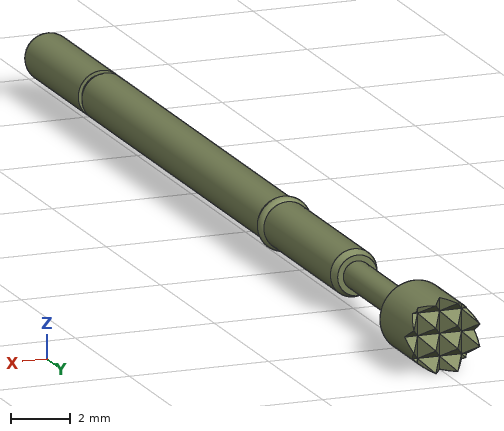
import cadquery as cq
import math

total_length = 37.3

head_diameter = 2.5
head_length = 3.0
tooth_angle = 60.0
valleys_per_side = 2

plunger_diameter = 1.0
plunger_length = 5.3

barrel_diameter = 1.68
mouth_radius = 0.7
mouth_length = 0.35
tail_flat_radius = 0.4
tail_round_length = 0.5

ring_center = 22.25
ring_width = 0.52
ring_height = 0.1

groove_center = 5.52
groove_width = 0.35
groove_depth = 0.13

head_radius = head_diameter / 2
plunger_radius = plunger_diameter / 2
barrel_radius = barrel_diameter / 2
tooth_pitch = head_radius / math.hypot(0.5, 1.5)
head_base = total_length - head_length
barrel_length = head_base - plunger_length


def rod(start, length, radius):
    """Cylinder on the Y axis from Y = start towards +Y."""
    return cq.Workplane("XZ", origin=(0, start, 0)).circle(radius).extrude(-length)


def make_barrel():
    """Barrel with a rounded tail and a tapered mouth, revolved about Y."""
    mouth_start = barrel_length - mouth_length
    body = (
        cq.Workplane("XY")
        .moveTo(0, barrel_length)
        .lineTo(mouth_radius, barrel_length)
        .lineTo(barrel_radius, mouth_start)
        .lineTo(barrel_radius, tail_round_length)
        .tangentArcPoint((tail_flat_radius, 0), relative=False)
        .lineTo(0, 0)
        .close()
        .revolve(360, (0, 0, 0), (0, 1, 0))
    )
    return body.union(make_ring()).cut(make_groove())


def make_ring():
    """Bead whose crown is an arc across the ring width."""
    ring_start = ring_center - ring_width / 2
    ring_end = ring_center + ring_width / 2
    return (
        cq.Workplane("XY")
        .moveTo(0, ring_start)
        .lineTo(barrel_radius, ring_start)
        .threePointArc((barrel_radius + ring_height, ring_center), (barrel_radius, ring_end))
        .lineTo(0, ring_end)
        .close()
        .revolve(360, (0, 0, 0), (0, 1, 0))
    )


def make_groove():
    """Square-sided ring of material removed around the barrel."""
    groove_start = groove_center - groove_width / 2
    outer = rod(groove_start, groove_width, 2 * barrel_radius)
    core = rod(groove_start, groove_width, barrel_radius - groove_depth)
    return outer.cut(core)


def make_head():
    """Head whose end is cut by two crossing sets of V grooves, leaving pyramid teeth."""
    head = rod(head_base, head_length, head_radius)
    tooth_depth = tooth_pitch / 2 / math.tan(math.radians(tooth_angle / 2))
    valley = (
        cq.Workplane("XY", origin=(0, 0, -head_radius))
        .moveTo(0, total_length - tooth_depth)
        .lineTo(tooth_pitch / 2, total_length)
        .lineTo(-tooth_pitch / 2, total_length)
        .close()
        .extrude(2 * head_radius)
    )
    for step in range(-valleys_per_side, valleys_per_side + 1):
        groove = valley.translate((step * tooth_pitch, 0, 0))
        head = head.cut(groove).cut(groove.rotate((0, 0, 0), (0, 1, 0), 90))
    return head


plunger = rod(barrel_length, plunger_length, plunger_radius)
result = make_barrel().union(plunger).union(make_head())